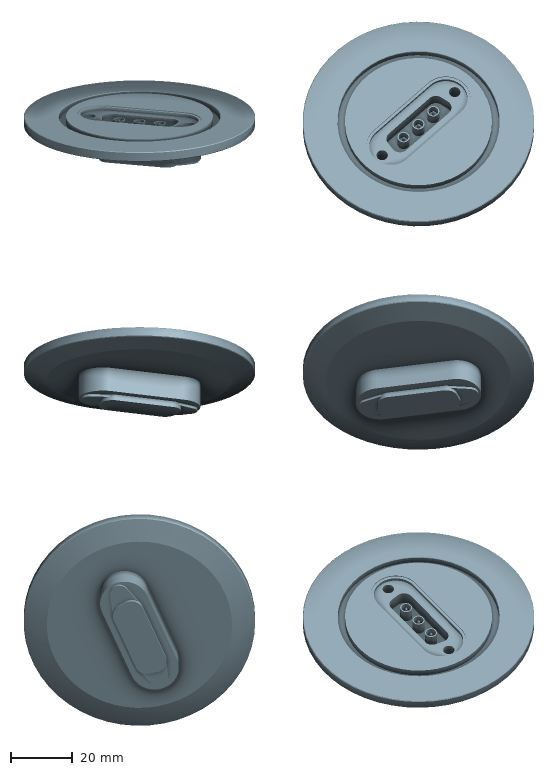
import cadquery as cq
import math

FLANGE_DIAMETER = 74.9
FLANGE_THICKNESS = 5.1
EDGE_CHAMFER = 0.2
TAPER_ANGLE = 15.0
TAPER_INNER_DIAMETER = 59.95

GROOVE_OUTER_DIAMETER = 52.3
GROOVE_INNER_DIAMETER = 47.6
GROOVE_DEPTH = 2.25
GROOVE_CHAMFER = 0.15

BODY_LENGTH = 40.8
BODY_WIDTH = 15.7
BODY_BOTTOM = -13.05
SEAT_CLEARANCE = 0.1
SEAT_DEPTH = 0.3
BODY_WALL = 0.8
POCKET_FLOOR = -1.35

D_SIDE_ANGLE = 10.0
SHELL_HALF_WIDTH = 13.35
SHELL_HEIGHT = 10.3
SHELL_CORNER_RADIUS = 3.75
SHELL_BOTTOM = -15.0
CAVITY_HALF_WIDTH = 12.45
CAVITY_HEIGHT = 8.3
CAVITY_CORNER_RADIUS = 2.85
CAVITY_DEPTH = 4.65
CAVITY_FLOOR = POCKET_FLOOR - CAVITY_DEPTH

HOLE_SPACING = 33.3
HOLE_DIAMETER = 3.7
HOLE_DEPTH = 7.5
EAR_RADIUS = 3.1
EAR_BOTTOM = -13.85
EAR_ROOT_X = 11.4
EAR_ROOT_HALF_WIDTH = 4.65

CONTACT_COUNT = 3
CONTACT_PITCH = 6.8
SLEEVE_DIAMETER = 3.9
SLEEVE_BORE_DIAMETER = 3.15
SLEEVE_HEIGHT = 4.35
SLEEVE_BORE_DEPTH = 3.0
PIN_DIAMETER = 0.9
PIN_TIP_HEIGHT = 0.6


def cylinder(diameter, bottom, top, x=0.0):
    return cq.Workplane("XY", origin=(x, 0, bottom)).circle(diameter / 2).extrude(top - bottom)


def slot(length, width, bottom, top):
    return cq.Workplane("XY", origin=(0, 0, bottom)).slot2D(length, width).extrude(top - bottom)


def revolve_about_z(profile, x=0.0):
    """Revolve a closed (radius, z) profile about the vertical axis through x."""
    outline = cq.Workplane("XZ", origin=(x, 0, 0)).polyline(profile).close()
    return outline.revolve(360, (0, 0, 0), (0, 1, 0))


def d_prism(half_width, height, corner_radius, bottom, top):
    """Prism with a rounded D outline that is wider on the +Y side."""
    half_height = height / 2
    flare = half_height * math.tan(math.radians(D_SIDE_ANGLE))
    corners = [
        (-half_width - flare, half_height),
        (half_width + flare, half_height),
        (half_width - flare, -half_height),
        (-half_width + flare, -half_height),
    ]
    prism = cq.Workplane("XY", origin=(0, 0, bottom)).polyline(corners).close().extrude(top - bottom)
    return prism.edges("|Z").fillet(corner_radius)


def make_flange():
    """Disc with a tapered underside and a ring groove in its top face."""
    radius = FLANGE_DIAMETER / 2
    taper_start = radius - EDGE_CHAMFER
    taper_end = TAPER_INNER_DIAMETER / 2
    taper_top = -FLANGE_THICKNESS + (taper_start - taper_end) * math.tan(math.radians(TAPER_ANGLE))
    groove_outer = GROOVE_OUTER_DIAMETER / 2
    groove_inner = GROOVE_INNER_DIAMETER / 2
    profile = [
        (0, 0),
        (groove_inner, 0),
        (groove_inner, -GROOVE_DEPTH),
        (groove_outer, -GROOVE_DEPTH),
        (groove_outer, -GROOVE_CHAMFER),
        (groove_outer + GROOVE_CHAMFER, 0),
        (radius - EDGE_CHAMFER, 0),
        (radius, -EDGE_CHAMFER),
        (radius, taper_top + EDGE_CHAMFER),
        (taper_start, taper_top),
        (taper_end, -FLANGE_THICKNESS),
        (0, -FLANGE_THICKNESS),
    ]
    return revolve_about_z(profile)


def make_ear(side):
    """Plate rounded about a mounting hole, its straight edges running tangentially to the shell."""
    hole_x = HOLE_SPACING / 2
    run = EAR_ROOT_X - hole_x
    root_distance = math.hypot(run, EAR_ROOT_HALF_WIDTH)
    tangent_angle = math.atan2(EAR_ROOT_HALF_WIDTH, run) - math.acos(EAR_RADIUS / root_distance)
    tangent_x = hole_x + EAR_RADIUS * math.cos(tangent_angle)
    tangent_y = EAR_RADIUS * math.sin(tangent_angle)
    return (
        cq.Workplane("XY", origin=(0, 0, EAR_BOTTOM))
        .moveTo(side * EAR_ROOT_X, EAR_ROOT_HALF_WIDTH)
        .lineTo(side * tangent_x, tangent_y)
        .threePointArc((side * (hole_x + EAR_RADIUS), 0), (side * tangent_x, -tangent_y))
        .lineTo(side * EAR_ROOT_X, -EAR_ROOT_HALF_WIDTH)
        .close()
        .extrude(BODY_BOTTOM - EAR_BOTTOM)
    )


def make_contact(x):
    """Sleeve with a conical-tipped pin whose point is level with the sleeve rim."""
    rim = CAVITY_FLOOR + SLEEVE_HEIGHT
    bore_floor = rim - SLEEVE_BORE_DEPTH
    sleeve = cylinder(SLEEVE_DIAMETER, CAVITY_FLOOR, rim, x)
    bore = cylinder(SLEEVE_BORE_DIAMETER, bore_floor, rim, x)
    pin_radius = PIN_DIAMETER / 2
    pin_profile = [
        (0, bore_floor),
        (pin_radius, bore_floor),
        (pin_radius, rim - PIN_TIP_HEIGHT),
        (0, rim),
    ]
    return sleeve.cut(bore).union(revolve_about_z(pin_profile, x))


body = slot(BODY_LENGTH, BODY_WIDTH, BODY_BOTTOM, -FLANGE_THICKNESS)
shell = d_prism(SHELL_HALF_WIDTH, SHELL_HEIGHT, SHELL_CORNER_RADIUS, SHELL_BOTTOM, BODY_BOTTOM)
result = make_flange().union(body).union(shell)
for side in (-1, 1):
    result = result.union(make_ear(side))

seat_growth = 2 * SEAT_CLEARANCE
pocket_shrink = 2 * BODY_WALL
result = result.cut(slot(BODY_LENGTH + seat_growth, BODY_WIDTH + seat_growth, -SEAT_DEPTH, 0))
result = result.cut(slot(BODY_LENGTH - pocket_shrink, BODY_WIDTH - pocket_shrink, POCKET_FLOOR, 0))
result = result.cut(
    d_prism(CAVITY_HALF_WIDTH, CAVITY_HEIGHT, CAVITY_CORNER_RADIUS, CAVITY_FLOOR, POCKET_FLOOR)
)

for side in (-1, 1):
    hole_x = side * HOLE_SPACING / 2
    result = result.cut(cylinder(HOLE_DIAMETER, POCKET_FLOOR - HOLE_DEPTH, POCKET_FLOOR, hole_x))

for index in range(CONTACT_COUNT):
    contact_x = (index - (CONTACT_COUNT - 1) / 2) * CONTACT_PITCH
    result = result.union(make_contact(contact_x))